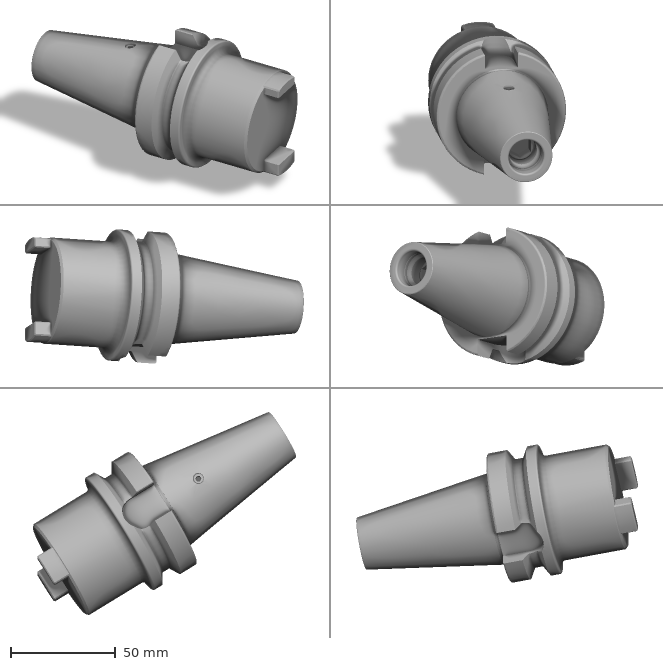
import cadquery as cq
import math

TAPER_LENGTH = 65.6
FLANGE_START = 67.4
GROOVE_LEFT_RIM = 76.8
GROOVE_RIGHT_RIM = 87.0
FLANGE_END = 92.0
NOSE_END = 125.4
TOTAL_LENGTH = 133.4

TAPER_SMALL_RADIUS = 12.7
TAPER_RATE = 7 / 48
TAPER_LARGE_RADIUS = TAPER_SMALL_RADIUS + TAPER_LENGTH * TAPER_RATE
NECK_RADIUS = 21.9
FLANGE_RADIUS = 31.5
GROOVE_RADIUS = 26.4
NOSE_RADIUS = 25.5
GROOVE_WALL_ANGLE = 30
GROOVE_WALL_RUN = (FLANGE_RADIUS - GROOVE_RADIUS) * math.tan(math.radians(GROOVE_WALL_ANGLE))

TAPER_END_CHAMFER = 0.3
NECK_FILLET = 0.8
FLANGE_ROUND = 1.0
FLANGE_BACK_ROUND = 0.8
GROOVE_FILLET = 0.7
NOSE_FILLET = 3.1
NOSE_CHAMFER = 1.1

SLOT_FLOOR = 22.5
SLOT_END = 88.8
UPPER_SLOT_WIDTH = 16.1
SLOT_EDGE_CHAMFER = 0.5
LOWER_SLOT_WIDTH = 17.0

KEY_WIDTH = 15.9
UPPER_KEY_INNER = 19.2
LOWER_KEY_INNER = 17.1
KEY_OUTER_RADIUS = 25.1
KEY_CHAMFER = 0.5

BORE_RADIUS = 8.5
BORE_MOUTH_ROUND = 1.0
BORE_DEPTH = 6.5
GUIDE_RADIUS = 8.4
GUIDE_START = 6.8
GUIDE_END = 8.5
SEAT_RADIUS = 7.2
SEAT_END = 9.9
THREAD_RADIUS = 7.0
THREAD_START = 10.3
SCREW_FACE = 16.0
SCREW_LENGTH = 24.0
SCREW_CHAMFER = 0.8
SCREW_HEX_FLATS = 10.0
SCREW_HEX_DEPTH = 6.7

SET_SCREW_X = 47.4
SET_SCREW_RADIUS = 2.7
SET_SCREW_TOP = 18.7
SET_SCREW_LENGTH = 6.0
SET_SCREW_CHAMFER = 0.5
SET_SCREW_HEX_FLATS = 2.5
SET_SCREW_HEX_DEPTH = 2.5

HEX_SIDES = 6
HEX_FLAT_TURN = 180 / HEX_SIDES


def revolve_about_x(profile):
    return profile.close().revolve(360, (0, 0, 0), (1, 0, 0))


def hexagon_diameter(across_flats):
    """Diameter across the corners of a hexagon."""
    return across_flats / math.cos(math.radians(HEX_FLAT_TURN))


def turned_body():
    corner_setback = GROOVE_FILLET * math.tan(math.radians(90 - GROOVE_WALL_ANGLE) / 2)
    wall_setback_x = corner_setback * math.sin(math.radians(GROOVE_WALL_ANGLE))
    wall_setback_r = corner_setback * math.cos(math.radians(GROOVE_WALL_ANGLE))
    left_corner = GROOVE_LEFT_RIM + GROOVE_WALL_RUN
    right_corner = GROOVE_RIGHT_RIM - GROOVE_WALL_RUN
    profile = (
        cq.Workplane("XY")
        .lineTo(0, TAPER_SMALL_RADIUS - TAPER_END_CHAMFER)
        .lineTo(TAPER_END_CHAMFER, TAPER_SMALL_RADIUS + TAPER_END_CHAMFER * TAPER_RATE)
        .lineTo(TAPER_LENGTH, TAPER_LARGE_RADIUS)
        .lineTo(TAPER_LENGTH, NECK_RADIUS)
        .lineTo(FLANGE_START - NECK_FILLET, NECK_RADIUS)
        .radiusArc((FLANGE_START, NECK_RADIUS + NECK_FILLET), -NECK_FILLET)
        .lineTo(FLANGE_START, FLANGE_RADIUS - FLANGE_ROUND)
        .radiusArc((FLANGE_START + FLANGE_ROUND, FLANGE_RADIUS), FLANGE_ROUND)
        .lineTo(GROOVE_LEFT_RIM, FLANGE_RADIUS)
        .lineTo(left_corner - wall_setback_x, GROOVE_RADIUS + wall_setback_r)
        .radiusArc((left_corner + corner_setback, GROOVE_RADIUS), -GROOVE_FILLET)
        .lineTo(right_corner - corner_setback, GROOVE_RADIUS)
        .radiusArc((right_corner + wall_setback_x, GROOVE_RADIUS + wall_setback_r), -GROOVE_FILLET)
        .lineTo(GROOVE_RIGHT_RIM, FLANGE_RADIUS)
        .lineTo(FLANGE_END - FLANGE_BACK_ROUND, FLANGE_RADIUS)
        .radiusArc((FLANGE_END, FLANGE_RADIUS - FLANGE_BACK_ROUND), FLANGE_BACK_ROUND)
        .lineTo(FLANGE_END, NOSE_RADIUS + NOSE_FILLET)
        .radiusArc((FLANGE_END + NOSE_FILLET, NOSE_RADIUS), -NOSE_FILLET)
        .lineTo(NOSE_END - NOSE_CHAMFER, NOSE_RADIUS)
        .lineTo(NOSE_END, NOSE_RADIUS - NOSE_CHAMFER)
        .lineTo(NOSE_END, 0)
    )
    return revolve_about_x(profile)


def bore_cutter():
    bottom = SCREW_FACE + SCREW_LENGTH
    profile = (
        cq.Workplane("XY")
        .lineTo(0, BORE_RADIUS + BORE_MOUTH_ROUND)
        .radiusArc((BORE_MOUTH_ROUND, BORE_RADIUS), -BORE_MOUTH_ROUND)
        .lineTo(BORE_DEPTH, BORE_RADIUS)
        .lineTo(GUIDE_START, GUIDE_RADIUS)
        .lineTo(GUIDE_END, GUIDE_RADIUS)
        .lineTo(SEAT_END, SEAT_RADIUS)
        .lineTo(THREAD_START, THREAD_RADIUS)
        .lineTo(bottom, THREAD_RADIUS)
        .lineTo(bottom, 0)
    )
    return revolve_about_x(profile)


def slot_cutter(width, side):
    """Open-ended slot with a full round end; side is +1 above and -1 below the axis."""
    radius = width / 2
    outline = (
        cq.Workplane("XY", origin=(0, 0, side * SLOT_FLOOR))
        .moveTo(TAPER_LENGTH, -radius)
        .lineTo(SLOT_END - radius, -radius)
        .threePointArc((SLOT_END, 0), (SLOT_END - radius, radius))
        .lineTo(TAPER_LENGTH, radius)
        .close()
    )
    return outline.extrude(side * FLANGE_RADIUS)


def slot_edge_bevel(width, side):
    """Wedge that breaks the two outer slot edges of the front flange ring."""
    half_width = width / 2
    edge_height = math.sqrt(FLANGE_RADIUS**2 - half_width**2)
    reach = FLANGE_RADIUS - edge_height + SLOT_EDGE_CHAMFER
    bottom = side * (edge_height - SLOT_EDGE_CHAMFER)
    top = bottom + side * reach
    return (
        cq.Workplane("YZ", origin=(FLANGE_START, 0, 0))
        .moveTo(-half_width, bottom)
        .lineTo(half_width, bottom)
        .lineTo(half_width + reach, top)
        .lineTo(-half_width - reach, top)
        .close()
        .extrude(GROOVE_LEFT_RIM - FLANGE_START)
    )


def drive_keys():
    """Upper and lower driving keys on the end face; the lower one reaches further inward."""
    start = NOSE_END - NOSE_CHAMFER
    key_length = TOTAL_LENGTH - start
    keys = []
    for side, inner in ((1, UPPER_KEY_INNER), (-1, LOWER_KEY_INNER)):
        block = cq.Workplane("XY").box(
            key_length, KEY_WIDTH, KEY_OUTER_RADIUS, centered=(False, True, False)
        )
        block = block.translate((start, 0, inner))
        round_top = cq.Workplane("YZ", origin=(start, 0, 0)).circle(KEY_OUTER_RADIUS).extrude(key_length)
        key = block.intersect(round_top)
        key = key.edges("|X").chamfer(KEY_CHAMFER).faces(">X").chamfer(KEY_CHAMFER)
        if side < 0:
            key = key.rotate((0, 0, 0), (1, 0, 0), 180)
        keys.append(key)
    return keys


def set_screw_cutter():
    bottom = SET_SCREW_TOP - SET_SCREW_LENGTH
    return (
        cq.Workplane("XY", origin=(SET_SCREW_X, 0, bottom))
        .circle(SET_SCREW_RADIUS)
        .extrude(TAPER_LARGE_RADIUS - bottom)
    )


def make_holder():
    """Tapered tool holder with flange, nose and integral drive keys."""
    holder = turned_body().cut(bore_cutter())
    for width, side in ((UPPER_SLOT_WIDTH, 1), (LOWER_SLOT_WIDTH, -1)):
        holder = holder.cut(slot_cutter(width, side))
    holder = holder.cut(slot_edge_bevel(UPPER_SLOT_WIDTH, 1))
    for key in drive_keys():
        holder = holder.union(key)
    return holder.cut(set_screw_cutter())


def make_draw_screw():
    """Hex-socket screw inside the axial bore."""
    screw = cq.Workplane("YZ", origin=(SCREW_FACE, 0, 0)).circle(THREAD_RADIUS).extrude(SCREW_LENGTH)
    screw = screw.faces("<X").chamfer(SCREW_CHAMFER)
    socket = (
        cq.Workplane("YZ", origin=(SCREW_FACE, 0, 0))
        .transformed(rotate=(0, 0, HEX_FLAT_TURN))
        .polygon(HEX_SIDES, hexagon_diameter(SCREW_HEX_FLATS))
        .extrude(SCREW_HEX_DEPTH)
    )
    return screw.cut(socket)


def make_set_screw():
    """Small hex-socket screw sunk radially into the top of the taper."""
    screw = (
        cq.Workplane("XY", origin=(SET_SCREW_X, 0, SET_SCREW_TOP))
        .circle(SET_SCREW_RADIUS)
        .extrude(-SET_SCREW_LENGTH)
    )
    screw = screw.faces(">Z").chamfer(SET_SCREW_CHAMFER)
    socket = (
        cq.Workplane("XY", origin=(SET_SCREW_X, 0, SET_SCREW_TOP))
        .transformed(rotate=(0, 0, HEX_FLAT_TURN))
        .polygon(HEX_SIDES, hexagon_diameter(SET_SCREW_HEX_FLATS))
        .extrude(-SET_SCREW_HEX_DEPTH)
    )
    return screw.cut(socket)


holder = make_holder()
draw_screw = make_draw_screw()
set_screw = make_set_screw()

result = cq.Compound.makeCompound([holder.val(), draw_screw.val(), set_screw.val()])